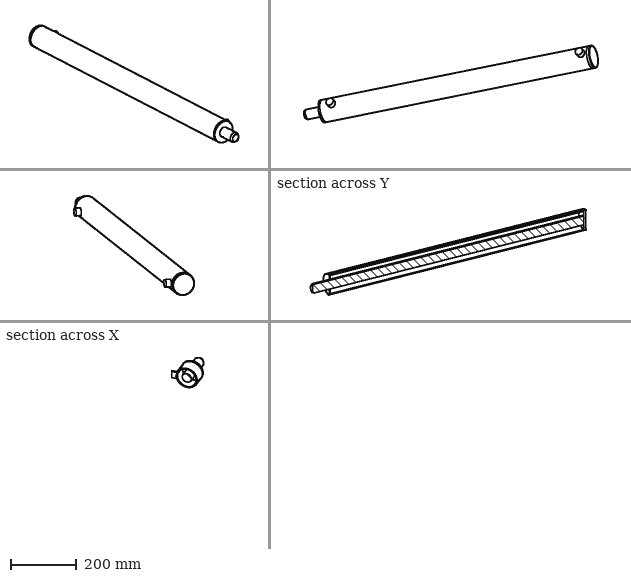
import cadquery as cq

total_length = 960.0
barrel_diameter = 70.0
bore_diameter = 60.0
end_cap_length = 10.0
end_cap_chamfer = 2.0
gland_length = 6.0

rod_diameter = 32.0
rod_exposed_length = 58.0
rod_tip_chamfer_length = 7.0
rod_tip_chamfer_depth = 4.0

port_diameter = 24.0
port_top = 50.4
port_positions = (28.0, 857.0)

gland_end = total_length - rod_exposed_length
gland_start = gland_end - gland_length


def disc(start, end, diameter):
    """Solid round bar along X between two stations."""
    return cq.Workplane("YZ").workplane(offset=start).circle(diameter / 2).extrude(end - start)


def make_end_cap():
    """Closed cap with a bevelled outer rim."""
    return disc(0, end_cap_length, barrel_diameter).faces("<X").chamfer(end_cap_chamfer)


def make_barrel():
    """Plain tube between the end cap and the gland."""
    tube = disc(end_cap_length, gland_start, barrel_diameter)
    return tube.cut(disc(end_cap_length, gland_start, bore_diameter))


def make_gland():
    """Ring that closes the barrel around the rod."""
    ring = disc(gland_start, gland_end, barrel_diameter)
    return ring.cut(disc(gland_start, gland_end, rod_diameter))


def make_rod():
    """Retracted rod, from the end cap out through the gland, with a bevelled tip."""
    rod = disc(end_cap_length, total_length, rod_diameter)
    return rod.faces(">X").chamfer(rod_tip_chamfer_length, rod_tip_chamfer_depth)


def make_port(position):
    """Round boss along +Y, shaped underneath to sit on the barrel."""
    boss = cq.Workplane("XZ").center(position, 0).circle(port_diameter / 2).extrude(-port_top)
    return boss.cut(disc(0, gland_end, barrel_diameter))


end_cap = make_end_cap()
barrel = make_barrel()
gland = make_gland()
rod = make_rod()
ports = [make_port(position) for position in port_positions]

result = cq.Compound.makeCompound(
    [end_cap.val(), barrel.val(), gland.val(), rod.val(), *[port.val() for port in ports]]
)